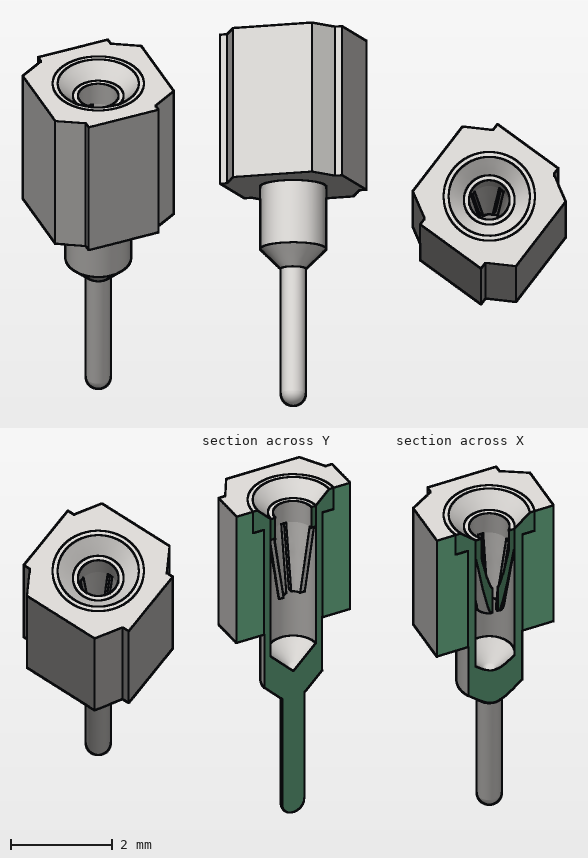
import cadquery as cq
import math

HOUSING_HEIGHT = 3.0
HOUSING_WIDTH = 2.54
SIDE_FLAT_WIDTH = 1.495
END_FLAT_WIDTH = 1.635
NOTCH_DEPTH = 0.15

TOTAL_HEIGHT = 7.4
HEAD_DIAMETER = 1.8
HEAD_HEIGHT = 0.5
BARREL_DIAMETER = 1.3
BARREL_EXPOSED = 1.25
TAIL_DIAMETER = 0.5
FUNNEL_DIAMETER = 1.6
BORE_DIAMETER = 1.0
BORE_DEPTH = 3.55
DRILL_POINT_ANGLE = 90.0

CLIP_INNER_DIAMETER = 0.8
CLIP_LENGTH = 2.0
CLIP_COLLAR_LENGTH = 0.5
TIP_OPENING_DIAMETER = 0.385
SLOT_WIDTH = 0.11
SLOT_COUNT = 2

TOP_Z = TOTAL_HEIGHT
HOUSING_BOTTOM_Z = TOP_Z - HOUSING_HEIGHT
HEAD_BOTTOM_Z = TOP_Z - HEAD_HEIGHT
BARREL_BOTTOM_Z = HOUSING_BOTTOM_Z - BARREL_EXPOSED
TAIL_TOP_Z = BARREL_BOTTOM_Z - (BARREL_DIAMETER - TAIL_DIAMETER) / 2
FUNNEL_BOTTOM_Z = TOP_Z - (FUNNEL_DIAMETER - BORE_DIAMETER) / 2
BORE_BOTTOM_Z = TOP_Z - BORE_DEPTH
DRILL_TIP_Z = BORE_BOTTOM_Z - BORE_DIAMETER / 2 / math.tan(math.radians(DRILL_POINT_ANGLE / 2))
COLLAR_BOTTOM_Z = FUNNEL_BOTTOM_Z - CLIP_COLLAR_LENGTH
CLIP_BOTTOM_Z = FUNNEL_BOTTOM_Z - CLIP_LENGTH


def revolve_profile(profile):
    """Close a profile drawn in (radius, Z) and turn it about the Z axis."""
    return profile.close().revolve(360, (0, 0, 0), (0, 1, 0))


def make_sleeve_envelope():
    """Solid outside shape of the sleeve: head, barrel, taper and round-ended tail."""
    tail_radius = TAIL_DIAMETER / 2
    arc_offset = tail_radius * math.sqrt(0.5)
    return revolve_profile(
        cq.Workplane("XZ")
        .moveTo(0, TOP_Z)
        .lineTo(HEAD_DIAMETER / 2, TOP_Z)
        .lineTo(HEAD_DIAMETER / 2, HEAD_BOTTOM_Z)
        .lineTo(BARREL_DIAMETER / 2, HEAD_BOTTOM_Z)
        .lineTo(BARREL_DIAMETER / 2, BARREL_BOTTOM_Z)
        .lineTo(tail_radius, TAIL_TOP_Z)
        .lineTo(tail_radius, tail_radius)
        .threePointArc((arc_offset, tail_radius - arc_offset), (0, 0))
    )


def make_sleeve_bore():
    """Funnel entry, straight bore and conical drill point."""
    return revolve_profile(
        cq.Workplane("XZ")
        .moveTo(0, TOP_Z)
        .lineTo(FUNNEL_DIAMETER / 2, TOP_Z)
        .lineTo(BORE_DIAMETER / 2, FUNNEL_BOTTOM_Z)
        .lineTo(BORE_DIAMETER / 2, BORE_BOTTOM_Z)
        .lineTo(0, DRILL_TIP_Z)
    )


def make_housing(sleeve_envelope):
    """Prism with slanted, notched corners and a seat for the sleeve."""
    half_width = HOUSING_WIDTH / 2
    half_side = SIDE_FLAT_WIDTH / 2
    half_end = END_FLAT_WIDTH / 2
    notch_x = half_width - NOTCH_DEPTH
    block = (
        cq.Workplane("XY", origin=(0, 0, HOUSING_BOTTOM_Z))
        .moveTo(0, half_width)
        .lineTo(half_end, half_width)
        .lineTo(notch_x, half_side)
        .lineTo(half_width, half_side)
        .lineTo(half_width, 0)
        .mirrorX()
        .mirrorY()
        .extrude(HOUSING_HEIGHT)
    )
    return block.cut(sleeve_envelope)


def make_clip():
    """Cylindrical collar with four spring fingers converging downward."""
    wall = (BORE_DIAMETER - CLIP_INNER_DIAMETER) / 2
    tip_radius = TIP_OPENING_DIAMETER / 2
    clip = revolve_profile(
        cq.Workplane("XZ")
        .moveTo(CLIP_INNER_DIAMETER / 2, FUNNEL_BOTTOM_Z)
        .lineTo(BORE_DIAMETER / 2, FUNNEL_BOTTOM_Z)
        .lineTo(BORE_DIAMETER / 2, COLLAR_BOTTOM_Z)
        .lineTo(tip_radius + wall, CLIP_BOTTOM_Z)
        .lineTo(tip_radius, CLIP_BOTTOM_Z)
        .lineTo(CLIP_INNER_DIAMETER / 2, COLLAR_BOTTOM_Z)
    )
    slot = (
        cq.Workplane("XY", origin=(0, 0, CLIP_BOTTOM_Z))
        .rect(BORE_DIAMETER, SLOT_WIDTH)
        .extrude(COLLAR_BOTTOM_Z - CLIP_BOTTOM_Z)
    )
    for index in range(SLOT_COUNT):
        clip = clip.cut(slot.rotate((0, 0, 0), (0, 0, 1), index * 180 / SLOT_COUNT))
    return clip


sleeve_envelope = make_sleeve_envelope()
housing = make_housing(sleeve_envelope)
sleeve = sleeve_envelope.cut(make_sleeve_bore())
clip = make_clip()

bodies = [housing, sleeve, clip]
result = cq.Compound.makeCompound([body.solids().val() for body in bodies])